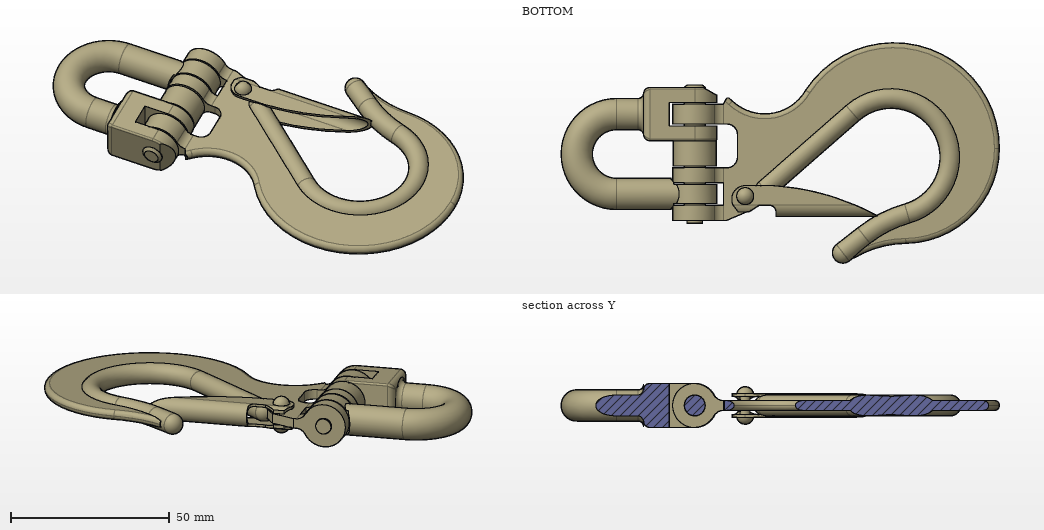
import cadquery as cq
import math


BARREL_DIA = 14.0
BARREL_R = BARREL_DIA / 2
SPACER_DIA = 13.7
PIN_DIA = 6.6
PIN_FACE_DIA = 4.7
PIN_PROUD = 0.8
PIN_TOP_DIA = 5.0
HINGE_GAP = 0.48

SHACKLE_DIA = 10.0
SHACKLE_R = SHACKLE_DIA / 2
SHACKLE_END_X = -42.2
LEG_OFFSET = 12.6
BEND_X = SHACKLE_END_X + SHACKLE_R + LEG_OFFSET
EYE_WIDTH = 6.1
LUG_CLEARANCE = 0.5
CLEVIS_WIDTH = 16.9
CLEVIS_BACK_X = -16.2
CLEVIS_BACK_ROUND = 2.1
CLEVIS_EDGE_ROUND = 0.5
COLLAR_ROUND = 1.7
SLOT_WIDTH = 7.3
SLOT_BACK_X = -8.0
NOSE_CUT_X = 2.6
NOSE_CUT_DEPTH = 2.5

CLEVIS_INNER_Y = CLEVIS_WIDTH / 2 - LEG_OFFSET
CLEVIS_OUTER_Y = -CLEVIS_WIDTH / 2 - LEG_OFFSET

PLATE_THICK = 3.2
EDGE_LAND = 0.03
PLATE_EDGE_ROUND = (PLATE_THICK - EDGE_LAND) / 2
PLATE_LEFT_X = 9.0
HOOK_TOP_Y = 21.0
WINDOW_X = 13.4
WINDOW_ROUND = 3.2
BACK_R = 33.3
SHOULDER_R = 30.0
HOOK_RIGHT_X = 96.2
HOOK_MID_Y = -1.8
BELLY_X = 21.2
BELLY_TOP_Y = -12.7
BEAK_R = 32.9
BEAK_X = 67.1
BEAK_SWEEP = 29.5
TAIL = (10.1, -17.7)
TAIL_TIP = (10.8, -17.7)
BELLY_START = (11.9, -16.7)
CROWN_FLAT = 1.0
CROWN_FOOT = (17.7, 17.7)

RIM_DIA = 6.6
RIM_R = RIM_DIA / 2
BOWL_X = 62.0
BOWL_Y = 1.0
BOWL_R = 18.7
SHANK_ANGLE = 41.2
SHANK_LENGTH = 36.7
BOWL_END_ANGLE = 74
NECK_R = 40.1
NECK_SWEEP = 22
TIP_LENGTH = 8.6

LATCH_R = 3.7
LATCH_WALL = 0.8
LATCH_TOP_Y = 19.8
LATCH_BOTTOM_Y = 10.0
LATCH_LEFT_X = 11.8
LATCH_CORNER_X = 12.0
LATCH_TIP_X = 58.1
BLADE_START_X = 24.5
BLADE_MID = (40.1, 12.5)
EAR_LEFT_X = 13.7
EAR_RIGHT_X = 17.2
EAR_TOP_Y = 18.3
NOTCH_LEFT_X = 20.3
NOTCH_RIGHT_X = 25.6
NOTCH_Y = 16.2
NOTCH_ROUND = 2.1
RIVET_X = 15.9
RIVET_Y = 13.3
RIVET_STEM_DIA = 3.2
RIVET_HEAD_DIA = 5.4
RIVET_HEAD_HEIGHT = 2.2

EYE_TOP_Y = LEG_OFFSET + EYE_WIDTH / 2
EYE_BOTTOM_Y = LEG_OFFSET - EYE_WIDTH / 2
MIDDLE_LUG_BOTTOM_Y = 4.3
LOWER_LUG_BOTTOM_Y = -LEG_OFFSET - SLOT_WIDTH / 2 + HINGE_GAP
LOWER_LUG_TOP_Y = -LEG_OFFSET + SLOT_WIDTH / 2 - HINGE_GAP
LUG_BANDS = (
    (EYE_TOP_Y + HINGE_GAP, HOOK_TOP_Y),
    (MIDDLE_LUG_BOTTOM_Y, EYE_BOTTOM_Y - HINGE_GAP),
    (LOWER_LUG_BOTTOM_Y, LOWER_LUG_TOP_Y),
)


def polar(center, radius, degrees):
    angle = math.radians(degrees)
    return (center[0] + radius * math.cos(angle), center[1] + radius * math.sin(angle))


def along_y(low, high):
    """Workplane at Y = high and the length to extrude it toward -Y, down to Y = low."""
    return cq.Workplane("XZ", origin=(0, high, 0)), high - low


def y_cylinder(diameter, low, high):
    plane, length = along_y(low, high)
    return plane.circle(diameter / 2).extrude(length)


def make_pin():
    """Hinge pin with a plain top end and a conical lower head."""
    shaft = y_cylinder(PIN_DIA, CLEVIS_OUTER_Y, HOOK_TOP_Y)
    top = y_cylinder(PIN_TOP_DIA, HOOK_TOP_Y, HOOK_TOP_Y + PIN_PROUD)
    head = (
        cq.Workplane("XZ", origin=(0, CLEVIS_OUTER_Y, 0))
        .circle(PIN_DIA / 2)
        .workplane(offset=PIN_PROUD)
        .circle(PIN_FACE_DIA / 2)
        .loft()
    )
    return shaft.union(top).union(head)


def make_clevis():
    """Forked block, rounded around the pin, on the lower shackle leg."""
    plane, width = along_y(CLEVIS_OUTER_Y, CLEVIS_INNER_Y)
    block = (
        plane.moveTo(0, BARREL_R)
        .lineTo(CLEVIS_BACK_X, BARREL_R)
        .lineTo(CLEVIS_BACK_X, -BARREL_R)
        .lineTo(0, -BARREL_R)
        .threePointArc((BARREL_R, 0), (0, BARREL_R))
        .close()
        .extrude(width)
    )
    block = block.faces("<Y or >Y").edges("|X").fillet(CLEVIS_EDGE_ROUND)
    block = block.faces("<X").edges().fillet(CLEVIS_BACK_ROUND)
    nose_cut = (
        cq.Workplane("XY", origin=(0, 0, -BARREL_R))
        .moveTo(NOSE_CUT_X, CLEVIS_OUTER_Y)
        .lineTo(BARREL_R, CLEVIS_OUTER_Y + NOSE_CUT_DEPTH)
        .lineTo(BARREL_R, CLEVIS_OUTER_Y)
        .close()
        .extrude(BARREL_DIA)
    )
    return block.cut(nose_cut)


def make_clevis_slot():
    """Opening between the fork arms that receives the lower lug."""
    length = BARREL_R - SLOT_BACK_X
    slot = cq.Workplane("XY").box(length, SLOT_WIDTH, BARREL_DIA, centered=(False, True, True))
    return slot.translate((SLOT_BACK_X, -LEG_OFFSET, 0))


def make_shackle():
    """U-shaped rod with an eye on the upper leg and the clevis on the lower leg."""
    rod = (
        cq.Workplane("YZ", origin=(0, LEG_OFFSET, 0))
        .circle(SHACKLE_R)
        .sweep(
            cq.Workplane("XY")
            .moveTo(0, LEG_OFFSET)
            .lineTo(BEND_X, LEG_OFFSET)
            .threePointArc((BEND_X - LEG_OFFSET, 0), (BEND_X, -LEG_OFFSET))
            .lineTo(CLEVIS_BACK_X + CLEVIS_BACK_ROUND, -LEG_OFFSET)
        )
    )
    for low, high in LUG_BANDS[:2]:
        rod = rod.cut(
            y_cylinder(BARREL_DIA + 2 * LUG_CLEARANCE, low - HINGE_GAP, high + HINGE_GAP)
        )
    collar_r = SHACKLE_R + COLLAR_ROUND
    collar = (
        cq.Workplane("XY")
        .moveTo(CLEVIS_BACK_X, 0)
        .lineTo(CLEVIS_BACK_X, collar_r)
        .radiusArc((CLEVIS_BACK_X - COLLAR_ROUND, SHACKLE_R), COLLAR_ROUND)
        .lineTo(CLEVIS_BACK_X - COLLAR_ROUND, 0)
        .close()
        .revolve(360, (0, 0, 0), (1, 0, 0))
        .translate((0, -LEG_OFFSET, 0))
    )
    eye = y_cylinder(BARREL_DIA, EYE_BOTTOM_Y, EYE_TOP_Y)
    spacer = y_cylinder(SPACER_DIA, CLEVIS_INNER_Y, MIDDLE_LUG_BOTTOM_Y - HINGE_GAP)
    body = make_clevis().union(rod).union(collar).cut(make_clevis_slot())
    return body.union(eye).union(spacer)


def make_lug(low, high):
    """Hinge barrel blended tangentially into the plate thickness."""
    half = PLATE_THICK / 2
    blend_r = (PLATE_LEFT_X**2 + half**2 - BARREL_R**2) / (2 * (BARREL_R - half))
    center_z = half + blend_r
    shrink = BARREL_R / (BARREL_R + blend_r)
    touch = (PLATE_LEFT_X * shrink, center_z * shrink)
    plane, width = along_y(low, high)
    neck = (
        plane.moveTo(0, touch[1])
        .lineTo(*touch)
        .radiusArc((PLATE_LEFT_X, half), -blend_r)
        .lineTo(PLATE_LEFT_X, -half)
        .radiusArc((touch[0], -touch[1]), -blend_r)
        .lineTo(0, -touch[1])
        .close()
        .extrude(width)
    )
    return y_cylinder(BARREL_DIA, low, high).union(neck)


BOWL = (BOWL_X, BOWL_Y)
BOWL_START_ANGLE = 270 - SHANK_ANGLE
SHANK_FOOT = polar(BOWL, BOWL_R, BOWL_START_ANGLE)
SHANK_HEAD = polar(SHANK_FOOT, SHANK_LENGTH, 180 - SHANK_ANGLE)
BOWL_END = polar(BOWL, BOWL_R, BOWL_END_ANGLE)
BOWL_MID = polar(BOWL, BOWL_R, (BOWL_START_ANGLE - 360 + BOWL_END_ANGLE) / 2)
NECK = polar(BOWL, BOWL_R + NECK_R, BOWL_END_ANGLE)
NECK_MID = polar(NECK, NECK_R, BOWL_END_ANGLE + 180 - NECK_SWEEP / 2)
TIP_START = polar(NECK, NECK_R, BOWL_END_ANGLE + 180 - NECK_SWEEP)
TIP = polar(TIP_START, TIP_LENGTH, BOWL_END_ANGLE + 90 - NECK_SWEEP)


def mouth_line():
    """Centreline of the rim from the shank head round the bowl to the tip."""
    return (
        cq.Workplane("XY")
        .moveTo(*SHANK_HEAD)
        .lineTo(*SHANK_FOOT)
        .threePointArc(BOWL_MID, BOWL_END)
        .threePointArc(NECK_MID, TIP_START)
        .lineTo(*TIP)
    )


def make_plate():
    """Flat hook body out to the centreline of the round rim."""
    half = PLATE_THICK / 2
    back = (HOOK_RIGHT_X - BACK_R, HOOK_MID_Y)
    shoulder = (HOOK_RIGHT_X - SHOULDER_R, HOOK_MID_Y)
    rise = HOOK_MID_Y - BELLY_TOP_Y
    span = back[0] - BELLY_X
    belly_r = (span**2 + rise**2 - BACK_R**2) / (2 * (BACK_R - rise))
    belly = (BELLY_X, BELLY_TOP_Y - belly_r)
    joint_angle = math.degrees(math.atan2(back[1] - belly[1], back[0] - belly[0]))
    joint = polar(belly, belly_r, joint_angle)
    back_mid = polar(back, BACK_R, (joint_angle - 180) / 2)
    lean = math.asin((BEAK_X - shoulder[0]) / (BEAK_R + SHOULDER_R))
    beak_angle = 90 - math.degrees(lean)
    beak = polar(shoulder, SHOULDER_R + BEAK_R, beak_angle)
    beak_joint = polar(shoulder, SHOULDER_R, beak_angle)
    beak_tip = polar(beak, BEAK_R, beak_angle + 180 - BEAK_SWEEP)
    beak_mid = polar(beak, BEAK_R, beak_angle + 180 - BEAK_SWEEP / 2)
    body = (
        cq.Workplane("XY", origin=(0, 0, -half))
        .moveTo(*TAIL)
        .lineTo(PLATE_LEFT_X, LOWER_LUG_BOTTOM_Y)
        .lineTo(PLATE_LEFT_X, HOOK_TOP_Y)
        .lineTo(PLATE_LEFT_X + CROWN_FLAT, HOOK_TOP_Y)
        .lineTo(*CROWN_FOOT)
        .lineTo(*SHANK_HEAD)
        .lineTo(*beak_tip)
        .threePointArc(beak_mid, beak_joint)
        .threePointArc(polar(shoulder, SHOULDER_R, beak_angle / 2), (HOOK_RIGHT_X, HOOK_MID_Y))
        .threePointArc(back_mid, joint)
        .threePointArc((BELLY_X, BELLY_TOP_Y), BELLY_START)
        .lineTo(*TAIL_TIP)
        .close()
        .extrude(PLATE_THICK)
    )
    body = body.faces("<Z or >Z").edges("%CIRCLE").fillet(PLATE_EDGE_ROUND)
    mouth = mouth_line().close().extrude(RIM_DIA, both=True)
    return body.cut(mouth).cut(make_window())


def make_window():
    """Round-cornered opening between the middle and lower lugs."""
    width = WINDOW_X - PLATE_LEFT_X
    height = MIDDLE_LUG_BOTTOM_Y - LOWER_LUG_TOP_Y
    window = cq.Workplane("XY").box(width, height, BARREL_DIA, centered=(False, False, True))
    window = window.edges(">X and |Z").fillet(WINDOW_ROUND)
    return window.translate((PLATE_LEFT_X, LOWER_LUG_TOP_Y, 0))


def make_rim():
    """Round bar along the mouth, with a ball at each end."""
    heading = (SHANK_FOOT[0] - SHANK_HEAD[0], SHANK_FOOT[1] - SHANK_HEAD[1], 0)
    start = cq.Plane(origin=(*SHANK_HEAD, 0), normal=heading)
    rim = cq.Workplane(start).circle(RIM_R).sweep(mouth_line())
    for end in (SHANK_HEAD, TIP):
        rim = rim.union(cq.Workplane("XY", origin=(*end, 0)).sphere(RIM_R))
    return rim


def make_latch():
    """U-shaped sheet channel, open toward -Y, trimmed to a tapering blade."""
    fold_y = LATCH_TOP_Y - LATCH_R
    length = LATCH_TIP_X - LATCH_LEFT_X

    def channel(radius):
        return (
            cq.Workplane("YZ", origin=(LATCH_LEFT_X, 0, 0))
            .moveTo(LATCH_BOTTOM_Y, radius)
            .lineTo(fold_y, radius)
            .threePointArc((fold_y + radius, 0), (fold_y, -radius))
            .lineTo(LATCH_BOTTOM_Y, -radius)
            .close()
            .extrude(length)
        )

    blade = (
        cq.Workplane("XY")
        .moveTo(RIVET_X, LATCH_BOTTOM_Y)
        .threePointArc((LATCH_LEFT_X, RIVET_Y), (LATCH_CORNER_X, fold_y))
        .lineTo(EAR_LEFT_X, EAR_TOP_Y)
        .lineTo(EAR_RIGHT_X, EAR_TOP_Y)
        .lineTo(NOTCH_LEFT_X, NOTCH_Y)
        .lineTo(NOTCH_RIGHT_X - NOTCH_ROUND, NOTCH_Y)
        .radiusArc((NOTCH_RIGHT_X, NOTCH_Y + NOTCH_ROUND), -NOTCH_ROUND)
        .lineTo(NOTCH_RIGHT_X, LATCH_TOP_Y)
        .lineTo(LATCH_TIP_X, LATCH_TOP_Y)
        .threePointArc(BLADE_MID, (BLADE_START_X, LATCH_BOTTOM_Y))
        .close()
        .extrude(LATCH_R, both=True)
    )
    return channel(LATCH_R).cut(channel(LATCH_R - LATCH_WALL)).intersect(blade)


def make_rivet():
    """Latch pivot with a domed head on each side."""
    head_r = RIVET_HEAD_DIA / 2
    stem = cq.Workplane("XY").circle(RIVET_STEM_DIA / 2).extrude(LATCH_R, both=True)
    dome_r = (head_r**2 + RIVET_HEAD_HEIGHT**2) / (2 * RIVET_HEAD_HEIGHT)
    dome = (
        cq.Workplane("XZ")
        .moveTo(0, LATCH_R)
        .lineTo(head_r, LATCH_R)
        .radiusArc((0, LATCH_R + RIVET_HEAD_HEIGHT), -dome_r)
        .close()
        .revolve(360, (0, 0, 0), (0, 1, 0))
    )
    rivet = stem.union(dome).union(dome.mirror("XY"))
    return rivet.translate((RIVET_X, RIVET_Y, 0))


result = make_shackle().union(make_pin()).union(make_plate()).union(make_rim())
for lug_low, lug_high in LUG_BANDS:
    result = result.union(make_lug(lug_low, lug_high))
result = result.union(make_latch()).union(make_rivet())